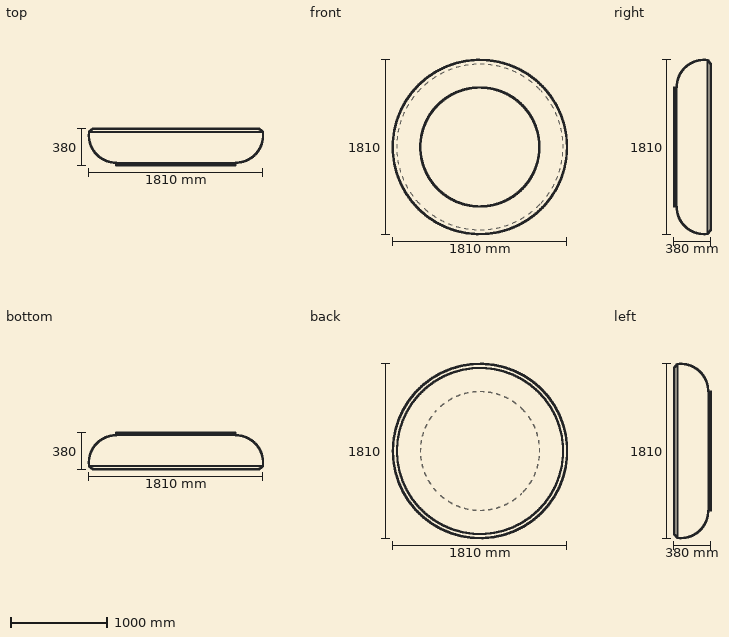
import cadquery as cq
import math

outer_radius = 905.0
total_depth = 380.0

pad_radius = 618.0
pad_height = 25.0
pad_chamfer = 4.0

bevel_depth = 33.0
bevel_width = 42.0

back_y = total_depth / 2
rim_y = back_y - bevel_depth
front_y = -total_depth / 2
shoulder_y = front_y + pad_height

dome_radius = outer_radius - pad_radius
dome_center_y = shoulder_y + dome_radius
rim_radius = pad_radius + math.sqrt(dome_radius**2 - (rim_y - dome_center_y) ** 2)
dome_middle = (
    pad_radius + dome_radius * math.cos(math.pi / 4),
    dome_center_y - dome_radius * math.sin(math.pi / 4),
)

half_section = (
    cq.Workplane("XY")
    .moveTo(0, back_y)
    .lineTo(rim_radius - bevel_width, back_y)
    .lineTo(rim_radius, rim_y)
    .threePointArc(dome_middle, (pad_radius, shoulder_y))
    .lineTo(pad_radius, front_y + pad_chamfer)
    .lineTo(pad_radius - pad_chamfer, front_y)
    .lineTo(0, front_y)
    .close()
)

result = half_section.revolve(360, (0, 0, 0), (0, 1, 0))